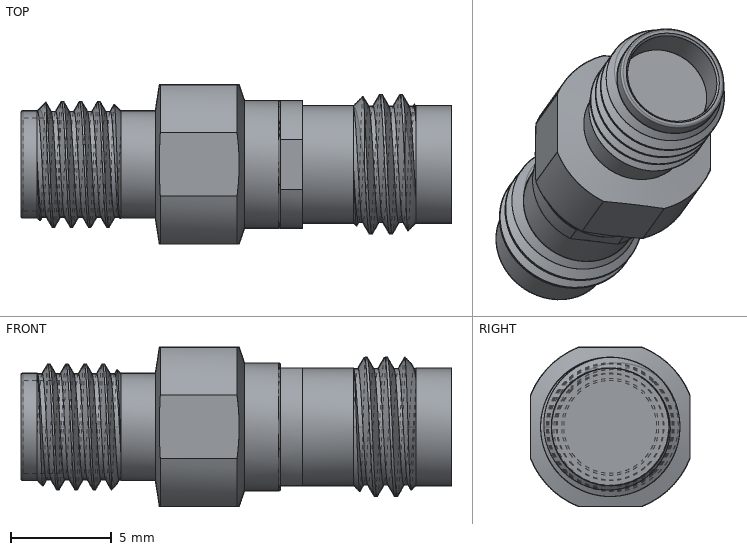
import cadquery as cq
import math


TOTAL_LENGTH = 21.32

FRONT_RADIUS = 2.66
BORE_RADIUS = 2.3
BORE_DEPTH = 1.9
BORE_CHAMFER = 0.1

EDGE_RADIUS = 0.1

ACROSS_FLATS = 7.9
BODY_RADIUS = 4.25
BODY_START = 6.65
BODY_FRONT_EDGE = 6.9
BODY_REAR_EDGE = 10.7
BODY_END = 11.07

COLLAR_RADIUS = 3.17
COLLAR_END = 12.85
SHOULDER_END = 13.95

REAR_RADIUS = 2.92

FRONT_THREAD_START = 0.8
FRONT_THREAD_END = 4.95
FRONT_CREST_RADIUS = 3.12
FRONT_PITCH = 0.9
FRONT_CREST_WIDTH = 0.1
FRONT_CREST_ON_TOP = 1.38
REAR_THREAD_START = 16.47
REAR_THREAD_END = 19.55
REAR_CREST_RADIUS = 3.45
REAR_PITCH = 1.0
REAR_CREST_WIDTH = 0.13
REAR_CREST_ON_TOP = 17.07

FLANK_ANGLE = 30
ROOT_RELIEF = 0.03
RIDGE_EMBED = 0.05


def revolve_about_x(points):
    """Solid of revolution from (x, radius) points, closed along the axis."""
    axis_end = points[-1][0]
    profile = cq.Workplane("XY").moveTo(points[0][0], 0)
    for x, radius in points:
        profile = profile.lineTo(x, -radius)
    profile = profile.lineTo(axis_end, 0).close()
    return profile.revolve(360, (0, 0, 0), (1, 0, 0))


def front_half():
    """Front barrel, wrench body blank and collar, with both end rims rounded."""
    root_radius = FRONT_RADIUS - ROOT_RELIEF
    turned = revolve_about_x([
        (0, FRONT_RADIUS),
        (FRONT_THREAD_START, FRONT_RADIUS),
        (FRONT_THREAD_START, root_radius),
        (FRONT_THREAD_END, root_radius),
        (FRONT_THREAD_END, FRONT_RADIUS),
        (BODY_START, FRONT_RADIUS),
        (BODY_FRONT_EDGE, BODY_RADIUS),
        (BODY_REAR_EDGE, BODY_RADIUS),
        (BODY_END, COLLAR_RADIUS),
        (COLLAR_END, COLLAR_RADIUS),
    ])
    return turned.faces("<X or >X").edges().fillet(EDGE_RADIUS)


def rear_half():
    """Round shoulder blank and rear barrel."""
    root_radius = REAR_RADIUS - ROOT_RELIEF
    return revolve_about_x([
        (COLLAR_END, COLLAR_RADIUS),
        (SHOULDER_END, COLLAR_RADIUS),
        (SHOULDER_END, REAR_RADIUS),
        (REAR_THREAD_START, REAR_RADIUS),
        (REAR_THREAD_START, root_radius),
        (REAR_THREAD_END, root_radius),
        (REAR_THREAD_END, REAR_RADIUS),
        (TOTAL_LENGTH, REAR_RADIUS),
    ])


def slab(start, end, width, height):
    """Box centred on the X axis between two X positions."""
    length = end - start
    return cq.Workplane("XY").box(length, width, height).translate((start + length / 2, 0, 0))


def cut_outside_slab(part, start, end, width, height):
    """Trim one stretch of the part to a width along Y and a height along Z."""
    blank_size = 3 * BODY_RADIUS
    waste = slab(start, end, blank_size, blank_size).cut(slab(start, end, width, height))
    return part.cut(waste)


def bore():
    """Flat-bottomed bore with a chamfered mouth."""
    return revolve_about_x([
        (0, BORE_RADIUS + BORE_CHAMFER),
        (BORE_CHAMFER, BORE_RADIUS),
        (BORE_DEPTH, BORE_RADIUS),
    ])


def helical_solid(section, pitch, length):
    """Solid swept along a helix about Z by a (radius, offset along Z) section."""
    helices = [
        cq.Wire.makeHelix(pitch, length, radius, cq.Vector(0, 0, offset)) for radius, offset in section
    ]
    sides = [
        cq.Face.makeRuledSurface(helix, helices[i - 1]) for i, helix in enumerate(helices)
    ]
    caps = [
        cq.Face.makeFromWires(cq.Wire.makePolygon([helix.positionAt(end) for helix in helices], close=True))
        for end in (0, 1)
    ]
    faces = [face for side in sides for face in side.Faces()]
    return cq.Workplane(cq.Solid.makeSolid(cq.Shell.makeShell(faces + caps)))


def thread_ridge(start, end, barrel_radius, crest_radius, pitch, crest_width, crest_on_top):
    """Right-handed helical ridge, trimmed by 45 degree chamfers at both ends."""
    base_radius = barrel_radius - ROOT_RELIEF - RIDGE_EMBED
    half_crest = crest_width / 2
    half_base = half_crest + (crest_radius - base_radius) * math.tan(math.radians(FLANK_ANGLE))

    lead_turns = math.ceil((crest_on_top - start) / pitch) + 1
    first_crest = crest_on_top - lead_turns * pitch
    helix_length = (math.ceil((end - first_crest) / pitch) + 1) * pitch
    section = [
        (base_radius, -half_base),
        (crest_radius, -half_crest),
        (crest_radius, half_crest),
        (base_radius, half_base),
    ]
    ridge = helical_solid(section, pitch, helix_length)
    ridge = ridge.rotate((0, 0, 0), (0, 1, 0), 90).rotate((0, 0, 0), (1, 0, 0), 180)
    ridge = ridge.translate((first_crest, 0, 0))

    end_radius = barrel_radius - ROOT_RELIEF / 2
    chamfer = crest_radius - end_radius
    envelope = revolve_about_x([
        (start - RIDGE_EMBED, end_radius - RIDGE_EMBED),
        (start + chamfer, crest_radius),
        (end - chamfer, crest_radius),
        (end + RIDGE_EMBED, end_radius - RIDGE_EMBED),
    ])
    return ridge.intersect(envelope)


front = cut_outside_slab(front_half(), BODY_START, BODY_END, ACROSS_FLATS, ACROSS_FLATS)
rear = cut_outside_slab(rear_half(), COLLAR_END, SHOULDER_END, 2 * COLLAR_RADIUS, 2 * REAR_RADIUS)
adapter = front.union(rear).cut(bore())
front_thread = thread_ridge(
    FRONT_THREAD_START, FRONT_THREAD_END, FRONT_RADIUS,
    FRONT_CREST_RADIUS, FRONT_PITCH, FRONT_CREST_WIDTH, FRONT_CREST_ON_TOP,
)
rear_thread = thread_ridge(
    REAR_THREAD_START, REAR_THREAD_END, REAR_RADIUS,
    REAR_CREST_RADIUS, REAR_PITCH, REAR_CREST_WIDTH, REAR_CREST_ON_TOP,
)
result = adapter.union(front_thread).union(rear_thread)